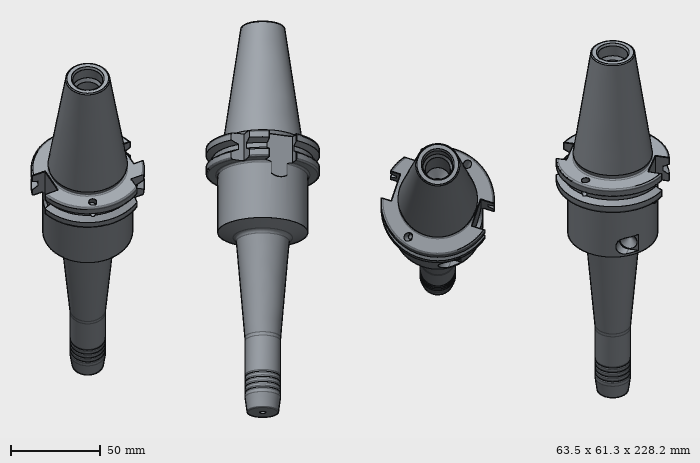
import cadquery as cq
import math


GAUGE_RADIUS = 22.225
TAPER_LENGTH = 68.25
TAPER_SLOPE = 7 / 48
TAPER_END_RADIUS = GAUGE_RADIUS - TAPER_LENGTH * TAPER_SLOPE
TAPER_END_CHAMFER = 0.6
OVERALL_LENGTH = 228.25
NOSE_Z = TAPER_LENGTH - OVERALL_LENGTH

FLANGE_RADIUS = 31.75
FLANGE_TOP_Z = -3.18
FLANGE_BOTTOM_Z = -19.05
FLANGE_NECK_RADIUS = 21.4
FLANGE_EDGE_RADIUS = 1.0
FLANGE_NECK_FILLET = 0.7
GROOVE_CENTER_Z = -11.1
GROOVE_MOUTH_WIDTH = 7.0
GROOVE_ROOT_RADIUS = 28.15
GROOVE_FLANK_ANGLE = 30
GROOVE_ROOT_WIDTH = GROOVE_MOUTH_WIDTH - 2 * (FLANGE_RADIUS - GROOVE_ROOT_RADIUS) * math.tan(
    math.radians(GROOVE_FLANK_ANGLE)
)

SLOT_WIDTH = 16.1
SLOT_CHAMFER = 0.3
SLOT_END_Z = -28.2
SLOT_FLOOR_FRONT = 22.7
SLOT_FLOOR_BACK = 24.8
NOTCH_X = 18.4
NOTCH_Y = 18.0

PORT_ANGLES = (160, 340)
PORT_RADIUS = 2.2
PORT_TILT = 30
PORT_CIRCLE_RADIUS = 26.9
CROSS_HOLE_RADIUS = 1.8

BODY_RADIUS = 25.25
BODY_BOTTOM_Z = -53.2
BODY_ROOT_FILLET = 1.1
SHOULDER_ANGLE = 20

SCREW_Y = -13.4
SCREW_Z = -46.3
SCREW_RADIUS = 5.4
SCREW_FLOOR_X = -16.5
SEAT_RADIUS = 4.9
SEAT_DEPTH = SEAT_RADIUS

NOSE_TOP_RADIUS = 15.0
NOSE_TOP_FILLET = 2.7
NOSE_RADIUS = 10.0
NOSE_TAPER_END_Z = -116.6
NOSE_BLEND_LENGTH = 1.0
TIP_CONE_LENGTH = 8.9
TIP_RADIUS = 8.8
TIP_FILLET = 0.6

RING_COUNT = 4
RING_PITCH = 3.1
FIRST_RING_HEIGHT = 11.8
RING_WIDTH = 1.7
RING_DEPTH = 0.25

DRILL_POINT_ANGLE = 118
BORE_RADIUS = 8.4
BORE_MOUTH_RADIUS = 9.2
BORE_MOUTH_DEPTH = 1.4
BORE_DEPTH = 8.0
BORE_STEP_LENGTH = 2.0
THREAD_RADIUS = 7.0
THREAD_DEPTH = 30.0
COOLANT_RADIUS = 1.7


def drill_point_length(radius):
    return radius / math.tan(math.radians(DRILL_POINT_ANGLE / 2))


def fillet_circle(solid, radius, z, fillet_radius):
    """Round the circular edge of the given radius that lies at height z about the axis."""
    tolerance = 1e-3
    edges = [
        edge
        for edge in solid.edges("%CIRCLE").vals()
        if abs(edge.radius() - radius) < tolerance and abs(edge.Center().z - z) < tolerance
    ]
    return solid.newObject(edges).fillet(fillet_radius)


def revolve_profile(points):
    """Revolve a closed outline of (radius, z) points about the Z axis."""
    return cq.Workplane("XZ").polyline(points).close().revolve(360, (0, 0, 0), (0, 1, 0))


def make_blank():
    shoulder_drop = (BODY_RADIUS - NOSE_TOP_RADIUS) * math.tan(math.radians(SHOULDER_ANGLE))
    nose_top_z = BODY_BOTTOM_Z - shoulder_drop
    nose_taper_angle = math.atan2(NOSE_TOP_RADIUS - NOSE_RADIUS, nose_top_z - NOSE_TAPER_END_Z)
    blend_start = (
        NOSE_RADIUS + NOSE_BLEND_LENGTH * math.sin(nose_taper_angle),
        NOSE_TAPER_END_Z + NOSE_BLEND_LENGTH * math.cos(nose_taper_angle),
    )
    upper_outline = [
        (0, TAPER_LENGTH),
        (TAPER_END_RADIUS - TAPER_END_CHAMFER, TAPER_LENGTH),
        (TAPER_END_RADIUS + TAPER_END_CHAMFER * TAPER_SLOPE, TAPER_LENGTH - TAPER_END_CHAMFER),
        (GAUGE_RADIUS, 0),
        (FLANGE_NECK_RADIUS, FLANGE_TOP_Z),
        (FLANGE_RADIUS, FLANGE_TOP_Z),
        (FLANGE_RADIUS, GROOVE_CENTER_Z + GROOVE_MOUTH_WIDTH / 2),
        (GROOVE_ROOT_RADIUS, GROOVE_CENTER_Z + GROOVE_ROOT_WIDTH / 2),
        (GROOVE_ROOT_RADIUS, GROOVE_CENTER_Z - GROOVE_ROOT_WIDTH / 2),
        (FLANGE_RADIUS, GROOVE_CENTER_Z - GROOVE_MOUTH_WIDTH / 2),
        (FLANGE_RADIUS, FLANGE_BOTTOM_Z),
        (BODY_RADIUS, FLANGE_BOTTOM_Z),
        (BODY_RADIUS, BODY_BOTTOM_Z),
        (NOSE_TOP_RADIUS, nose_top_z),
        blend_start,
    ]
    blank = (
        cq.Workplane("XZ")
        .polyline(upper_outline)
        .tangentArcPoint((NOSE_RADIUS, NOSE_TAPER_END_Z - NOSE_BLEND_LENGTH), relative=False)
        .lineTo(NOSE_RADIUS, NOSE_Z + TIP_CONE_LENGTH)
        .lineTo(TIP_RADIUS, NOSE_Z)
        .lineTo(0, NOSE_Z)
        .close()
        .revolve(360, (0, 0, 0), (0, 1, 0))
    )
    blank = fillet_circle(blank, FLANGE_NECK_RADIUS, FLANGE_TOP_Z, FLANGE_NECK_FILLET)
    blank = fillet_circle(blank, FLANGE_RADIUS, FLANGE_TOP_Z, FLANGE_EDGE_RADIUS)
    blank = fillet_circle(blank, FLANGE_RADIUS, FLANGE_BOTTOM_Z, FLANGE_EDGE_RADIUS)
    blank = fillet_circle(blank, BODY_RADIUS, FLANGE_BOTTOM_Z, BODY_ROOT_FILLET)
    blank = fillet_circle(blank, NOSE_TOP_RADIUS, nose_top_z, NOSE_TOP_FILLET)
    return fillet_circle(blank, TIP_RADIUS, NOSE_Z, TIP_FILLET)


def make_drive_slot(floor, side):
    """A round-ended slot through the flange; side is +1 for +Y and -1 for -Y."""
    half_width = SLOT_WIDTH / 2
    end_center_z = SLOT_END_Z + half_width
    outline = (
        cq.Workplane("XZ")
        .moveTo(-half_width, FLANGE_TOP_Z)
        .lineTo(-half_width, end_center_z)
        .threePointArc((0, SLOT_END_Z), (half_width, end_center_z))
        .lineTo(half_width, FLANGE_TOP_Z)
        .close()
    )
    slot = outline.extrude(-side * FLANGE_RADIUS).translate((0, side * floor, 0))

    face_chamfer = (
        cq.Workplane("XY", origin=(0, side * (floor + FLANGE_RADIUS / 2), FLANGE_TOP_Z - SLOT_CHAMFER))
        .rect(SLOT_WIDTH, FLANGE_RADIUS)
        .extrude(SLOT_CHAMFER, taper=-45)
    )

    rim_half_width = half_width + SLOT_CHAMFER
    rim_y = math.sqrt(FLANGE_RADIUS**2 - rim_half_width**2)
    rim_chamfer = (
        cq.Workplane("XY", origin=(0, 0, FLANGE_BOTTOM_Z))
        .polyline(
            [
                (-half_width, side * (rim_y - SLOT_CHAMFER)),
                (half_width, side * (rim_y - SLOT_CHAMFER)),
                (rim_half_width, side * rim_y),
                (rim_half_width, side * FLANGE_RADIUS),
                (-rim_half_width, side * FLANGE_RADIUS),
                (-rim_half_width, side * rim_y),
            ]
        )
        .close()
        .extrude(FLANGE_TOP_Z - FLANGE_BOTTOM_Z)
    )
    return slot.union(face_chamfer).union(rim_chamfer)


def make_notch():
    """A square corner cut through the full height of the flange."""
    return cq.Workplane("XY", origin=(NOTCH_X, NOTCH_Y, FLANGE_BOTTOM_Z)).box(
        FLANGE_RADIUS, FLANGE_RADIUS, FLANGE_TOP_Z - FLANGE_BOTTOM_Z, centered=False
    )


def make_coolant_port(angle):
    """An inclined hole from the flange face and the radial hole that meets it."""
    tilt = math.radians(PORT_TILT)
    drop = FLANGE_TOP_Z - GROOVE_CENTER_Z
    axis = cq.Vector(-math.sin(tilt), 0, -math.cos(tilt))
    mouth = cq.Vector(PORT_CIRCLE_RADIUS, 0, FLANGE_TOP_Z)
    lead_in = 2 * PORT_RADIUS
    inclined_length = drop / math.cos(tilt)
    inclined = cq.Solid.makeCylinder(
        PORT_RADIUS, inclined_length + lead_in, pnt=mouth - axis * lead_in, dir=axis
    )
    meeting_x = PORT_CIRCLE_RADIUS - drop * math.tan(tilt)
    radial = cq.Solid.makeCylinder(
        CROSS_HOLE_RADIUS,
        FLANGE_RADIUS - meeting_x,
        pnt=cq.Vector(meeting_x, 0, GROOVE_CENTER_Z),
        dir=cq.Vector(1, 0, 0),
    )
    port = cq.Workplane(obj=inclined).union(cq.Workplane(obj=radial))
    return port.rotate((0, 0, 0), (0, 0, 1), angle)


def make_screw_pocket():
    """A U-shaped pocket open toward -X and -Y, with a conical seat in its floor."""
    reach = BODY_RADIUS
    floor = cq.Workplane("YZ", origin=(SCREW_FLOOR_X, SCREW_Y, SCREW_Z))
    round_part = floor.circle(SCREW_RADIUS).extrude(-reach)
    open_part = floor.center(-reach / 2, 0).rect(reach, 2 * SCREW_RADIUS).extrude(-reach)
    seat = cq.Solid.makeCone(
        SEAT_RADIUS,
        0,
        SEAT_DEPTH,
        pnt=cq.Vector(SCREW_FLOOR_X, SCREW_Y, SCREW_Z),
        dir=cq.Vector(1, 0, 0),
    )
    return round_part.union(open_part).union(cq.Workplane(obj=seat))


def make_ring_groove(center_z):
    return revolve_profile(
        [
            (NOSE_RADIUS, center_z + RING_WIDTH / 2),
            (NOSE_RADIUS - RING_DEPTH, center_z),
            (NOSE_RADIUS, center_z - RING_WIDTH / 2),
        ]
    )


def make_bore():
    """The stepped bore in the taper end, running into the coolant hole along the axis."""
    bore_bottom_z = TAPER_LENGTH - BORE_DEPTH
    thread_bottom_z = TAPER_LENGTH - THREAD_DEPTH
    return revolve_profile(
        [
            (0, TAPER_LENGTH),
            (BORE_MOUTH_RADIUS, TAPER_LENGTH),
            (BORE_RADIUS, TAPER_LENGTH - BORE_MOUTH_DEPTH),
            (BORE_RADIUS, bore_bottom_z),
            (THREAD_RADIUS, bore_bottom_z - BORE_STEP_LENGTH),
            (THREAD_RADIUS, thread_bottom_z),
            (COOLANT_RADIUS, thread_bottom_z - drill_point_length(THREAD_RADIUS - COOLANT_RADIUS)),
            (COOLANT_RADIUS, NOSE_Z),
            (0, NOSE_Z),
        ]
    )


result = make_blank()
result = result.cut(make_drive_slot(SLOT_FLOOR_FRONT, -1))
result = result.cut(make_drive_slot(SLOT_FLOOR_BACK, 1))
result = result.cut(make_notch())
for port_angle in PORT_ANGLES:
    result = result.cut(make_coolant_port(port_angle))
result = result.cut(make_screw_pocket())
for ring in range(RING_COUNT):
    result = result.cut(make_ring_groove(NOSE_Z + FIRST_RING_HEIGHT + ring * RING_PITCH))
result = result.cut(make_bore())